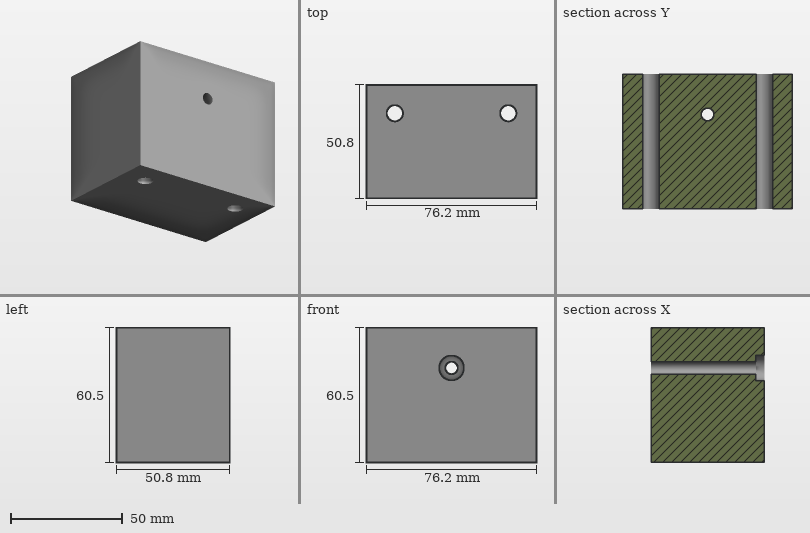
import cadquery as cq

length = 76.2
width = 50.8
height = 60.5

bore_diameter = 5.5
counterbore_diameter = 11.1
counterbore_depth = 3.8
bore_drop = 18.05

vertical_hole_diameter = 7.2
vertical_hole_spacing = 2 * length / 3
vertical_hole_y = width / 4


def make_block():
    return cq.Workplane("XY").box(length, width, height, centered=(True, True, False))


def cut_counterbored_hole(body):
    front_face = cq.Workplane("XZ", origin=(0, -width / 2, height - bore_drop))
    bore = front_face.circle(bore_diameter / 2).extrude(-width)
    counterbore = front_face.circle(counterbore_diameter / 2).extrude(-counterbore_depth)
    return body.cut(bore).cut(counterbore)


def cut_vertical_holes(body):
    half_spacing = vertical_hole_spacing / 2
    holes = (
        cq.Workplane("XY")
        .pushPoints([(-half_spacing, vertical_hole_y), (half_spacing, vertical_hole_y)])
        .circle(vertical_hole_diameter / 2)
        .extrude(height)
    )
    return body.cut(holes)


result = cut_vertical_holes(cut_counterbored_hole(make_block()))